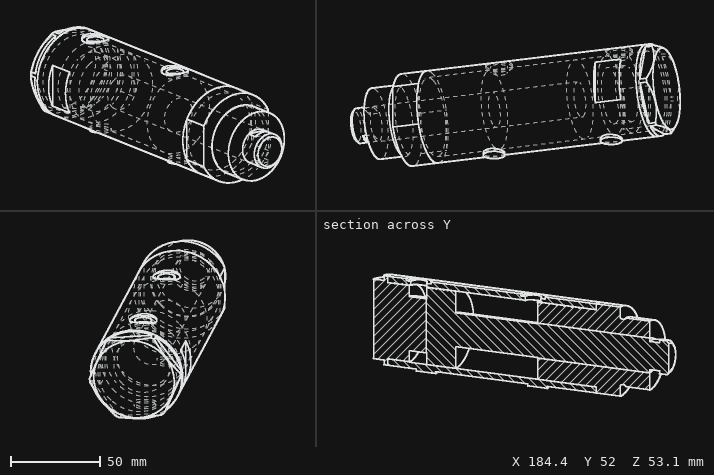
import cadquery as cq
import math


outer_radius = 26.0
bore_radius = 22.3
flat_distance = 23.0
flat_length = 15.1

hex_end = 6.6
tube_start = 9.0
tube_flat_start = 19.0
port_x_positions = (28.4, 99.5)
boss_x_positions = (32.8, 102.3)
piston_start = 33.2
spigot_start = 102.3
tube_end = 139.0
head_flange_end = tube_end + flat_length
collar_end = 172.5
rod_flat_end = 178.3
rod_end = 184.4

hex_face_radius = 22.9
hex_chamfer_length = 2.8
cap_angle = 22.5
cap_neck_radius = 15.9
port_clearance = 1.0

port_radius = 4.8
spot_face_radius = 7.5
spot_face_depth = 1.2
boss_radius = 6.0
boss_height = 1.1

collar_radius = 20.1
undercut_depth = 1.0
undercut_fillet = 1.0
undercut_floor = 1.3
undercut_slope = math.radians(45)

rod_radius = 10.0
rod_flat_distance = 8.3
rod_chamfer = 1.5
piston_length = 18.5


def cylinder(start, end, radius):
    """Solid cylinder on the X axis between two stations."""
    return cq.Workplane("YZ").workplane(offset=start).circle(radius).extrude(end - start)


def beyond_flats(start, end, distance, turn=0):
    """Two blocks that cut opposite flats facing along Y, turned about X by the given degrees."""
    length = end - start
    block = 2 * outer_radius
    shift = distance + block / 2
    middle = start + length / 2
    block_centers = [(middle, -shift, 0), (middle, shift, 0)]
    blocks = cq.Workplane("XY").pushPoints(block_centers).box(length, block, block)
    return blocks.rotate((0, 0, 0), (1, 0, 0), turn)


def make_cap():
    """Hexagon cap with a flange, a plug in the bore and a neck that stops the piston."""
    hexagon = (
        cq.Workplane("YZ")
        .polygon(6, 2 * flat_distance, circumscribed=True)
        .extrude(hex_end)
    )
    turned_blank = (
        cq.Workplane("XY")
        .moveTo(0, 0)
        .lineTo(0, hex_face_radius)
        .lineTo(hex_chamfer_length, outer_radius)
        .lineTo(hex_end, outer_radius)
        .lineTo(hex_end, 0)
        .close()
        .revolve(360, (0, 0, 0), (1, 0, 0))
    )
    plug_end = port_x_positions[0] - port_radius - port_clearance
    cap = (
        hexagon.intersect(turned_blank)
        .union(cylinder(hex_end, tube_start, outer_radius))
        .union(cylinder(tube_start, plug_end, bore_radius))
        .union(cylinder(plug_end, piston_start, cap_neck_radius))
    )
    return cap.rotate((0, 0, 0), (1, 0, 0), cap_angle)


def make_tube():
    """Tube with two wrench flats, two spot-faced ports on top and two bosses below."""
    tube = cylinder(tube_start, tube_end, outer_radius)
    for x in boss_x_positions:
        boss = (
            cq.Workplane("XY")
            .center(x, 0)
            .circle(boss_radius)
            .extrude(-(outer_radius + boss_height))
        )
        tube = tube.union(boss)
    tube = tube.cut(cylinder(tube_start, tube_end, bore_radius))
    tube = tube.cut(beyond_flats(tube_flat_start, tube_flat_start + flat_length, flat_distance))
    for x in port_x_positions:
        top = cq.Workplane("XY").workplane(offset=outer_radius).center(x, 0)
        tube = tube.cut(top.circle(spot_face_radius).extrude(-spot_face_depth))
        tube = tube.cut(top.circle(port_radius).extrude(-outer_radius))
    return tube


def make_head():
    """Guide head: spigot in the tube, flange with flats, undercut and collar, bored for the rod."""
    floor_radius = collar_radius - undercut_depth
    fillet_end = head_flange_end + undercut_fillet
    floor_end = fillet_end + undercut_floor
    bend_end = floor_end + undercut_fillet * math.sin(undercut_slope)
    bend_radius = floor_radius + undercut_fillet * (1 - math.cos(undercut_slope))
    undercut_end = bend_end + (collar_radius - bend_radius) / math.tan(undercut_slope)
    head = (
        cq.Workplane("XY")
        .moveTo(spigot_start, rod_radius)
        .lineTo(spigot_start, bore_radius)
        .lineTo(tube_end, bore_radius)
        .lineTo(tube_end, outer_radius)
        .lineTo(head_flange_end, outer_radius)
        .lineTo(head_flange_end, floor_radius + undercut_fillet)
        .tangentArcPoint((fillet_end, floor_radius), relative=False)
        .lineTo(floor_end, floor_radius)
        .tangentArcPoint((bend_end, bend_radius), relative=False)
        .lineTo(undercut_end, collar_radius)
        .lineTo(collar_end, collar_radius)
        .lineTo(collar_end, rod_radius)
        .close()
        .revolve(360, (0, 0, 0), (1, 0, 0))
    )
    return head.cut(beyond_flats(tube_end, head_flange_end, flat_distance))


def make_piston_rod():
    """Piston and rod in one piece, with a chamfered end and two flats behind it."""
    rod = cylinder(piston_start, rod_end, rod_radius).faces(">X").chamfer(rod_chamfer)
    rod = rod.union(cylinder(piston_start, piston_start + piston_length, bore_radius))
    return rod.cut(beyond_flats(collar_end, rod_flat_end, rod_flat_distance, turn=90))


cap = make_cap()
tube = make_tube()
head = make_head()
piston_rod = make_piston_rod()

result = cq.Compound.makeCompound([cap.val(), tube.val(), head.val(), piston_rod.val()])